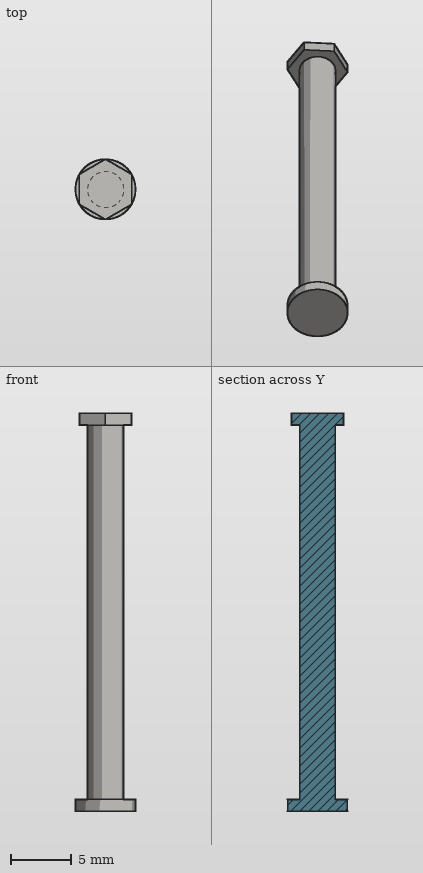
import cadquery as cq

overall_length = 33.0
end_diameter = 5.0
end_thickness = 1.0
shank_diameter = 3.0

shank_length = overall_length - 2 * end_thickness
head_bottom = end_thickness + shank_length


def round_flange():
    """Disc at the bottom of the pin, resting on Z = 0."""
    return cq.Workplane("XY").circle(end_diameter / 2).extrude(end_thickness)


def shank():
    """Plain cylinder joining the flange to the head."""
    return (
        cq.Workplane("XY")
        .workplane(offset=end_thickness)
        .circle(shank_diameter / 2)
        .extrude(shank_length)
    )


def hex_head():
    """Hexagonal head on top, with two opposite corners on the Y axis."""
    corner_on_y = 90
    return (
        cq.Workplane("XY")
        .workplane(offset=head_bottom)
        .transformed(rotate=(0, 0, corner_on_y))
        .polygon(6, end_diameter)
        .extrude(end_thickness)
    )


result = round_flange().union(shank()).union(hex_head())